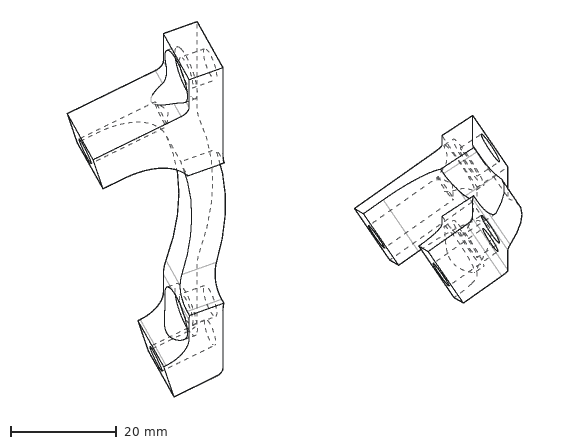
import cadquery as cq
import math

width = 12.0
length = 97.5
tab_thickness = 7.0

tilt = math.radians(11.4)
toe_reach = 10.1
lower_arm_height = 10.8
upper_arm_height = 10.4
upper_arm_top = 83.2

bridge_radius = 80.0
bridge_bulge = 3.2
bridge_mid_z = 45.9
bridge_inner_radius = bridge_radius - tab_thickness
bridge_center_y = bridge_bulge - bridge_radius

tab_fillet = 2.0
bridge_fillet = 12.0
bridge_blend = 15.0
lower_arm_fillet = 5.9
heel_fillet = 1.8

relief_top = 67.6
relief_bottom = 23.8
relief_radius = 5.0

bolt_hole_diameter = 6.2
counterbore_diameter = 10.4
counterbore_floor = 5.0
hole_spacing = 74.0
upper_bolt_z = 91.4
bolt_heights = (upper_bolt_z, upper_bolt_z - hole_spacing)

thread_diameter = 5.2
thread_depth = 16.0
upper_thread_z = upper_arm_top - upper_arm_height * math.cos(tilt) / 2
lower_thread_z = lower_arm_height * math.cos(tilt) / 2
drill_tip_angle = math.radians(118)


def face_y(z):
    """Y of the caliper face at height z."""
    return -toe_reach - z * math.tan(tilt)


def along_arm(start, y):
    """Point at the given y on the line through start that runs square to the caliper face."""
    return y, start[1] + (y - start[0]) * math.tan(tilt)


def bridge_half_height(radius, y):
    """Half the height of the bridge circle where it crosses the given y."""
    return math.sqrt(radius**2 - (y - bridge_center_y) ** 2)


def under_arm_root(under_tip):
    """Point where the underside of the upper arm meets the inner arc of the bridge."""
    reach_y = under_tip[0] - bridge_center_y
    rise_z = under_tip[1] - bridge_mid_z
    along = reach_y * math.cos(tilt) + rise_z * math.sin(tilt)
    offset_squared = reach_y**2 + rise_z**2 - along**2
    distance = math.sqrt(bridge_inner_radius**2 - offset_squared) - along
    return along_arm(under_tip, under_tip[0] + distance * math.cos(tilt))


def at_corner(point):
    """Selector for the edge along X through a corner of the side outline."""
    return cq.selectors.NearestToPointSelector((0, *point))


def bracket_body():
    """Side outline extruded across the full width, with its corners rounded."""
    tab_y = -tab_thickness
    back_half = bridge_half_height(bridge_radius, 0)
    inner_half = bridge_half_height(bridge_inner_radius, tab_y)

    toe = (face_y(0), 0)
    heel = along_arm(toe, 0)
    back_bottom = (0, bridge_mid_z - back_half)
    back_top = (0, bridge_mid_z + back_half)
    upper_tip = (face_y(upper_arm_top), upper_arm_top)
    upper_arm_root = along_arm(upper_tip, tab_y)
    under_z = upper_arm_top - upper_arm_height * math.cos(tilt)
    under_tip = (face_y(under_z), under_z)
    lower_z = lower_arm_height * math.cos(tilt)
    lower_tip = (face_y(lower_z), lower_z)
    lower_arm_root = along_arm(lower_tip, tab_y)

    bridge_crown = (bridge_bulge - tab_thickness, bridge_mid_z)
    bridge_bottom = (tab_y, bridge_mid_z - inner_half)
    under_root = under_arm_root(under_tip)

    body = (
        cq.Workplane("YZ")
        .moveTo(*toe)
        .lineTo(*heel)
        .lineTo(*back_bottom)
        .threePointArc((bridge_bulge, bridge_mid_z), back_top)
        .lineTo(0, length)
        .lineTo(tab_y, length)
        .lineTo(*upper_arm_root)
        .lineTo(*upper_tip)
        .lineTo(*under_tip)
        .lineTo(*under_root)
        .threePointArc(bridge_crown, bridge_bottom)
        .lineTo(*lower_arm_root)
        .lineTo(*lower_tip)
        .close()
        .extrude(width / 2, both=True)
    )
    rounded_corners = (
        (heel, heel_fillet),
        (upper_arm_root, tab_fillet),
        (under_root, bridge_fillet),
        (bridge_bottom, bridge_blend),
        (back_bottom, bridge_blend),
        (back_top, bridge_blend),
        (lower_arm_root, lower_arm_fillet),
    )
    for corner, radius in rounded_corners:
        body = body.edges("|X").edges(at_corner(corner)).fillet(radius)
    return body


def relief():
    """Slot through the thickness that leaves half the width of the bridge."""
    return (
        cq.Workplane("XZ")
        .center(width / 2, (relief_top + relief_bottom) / 2)
        .rect(width, relief_top - relief_bottom)
        .extrude(length, both=True)
        .edges("|Y and <X")
        .fillet(relief_radius)
    )


def counterbored_hole(z):
    """Through hole along Y with a counterbore open toward -Y."""
    bore = cq.Workplane("XZ").center(0, z).circle(bolt_hole_diameter / 2).extrude(length, both=True)
    counterbore = (
        cq.Workplane("XZ", origin=(0, -counterbore_floor, z))
        .circle(counterbore_diameter / 2)
        .extrude(length)
    )
    return bore.union(counterbore)


def threaded_hole(z):
    """Hole square to the caliper face at height z, with a conical drill tip."""
    radius = thread_diameter / 2
    tip_height = radius / math.tan(drill_tip_angle / 2)
    face_plane = cq.Plane(
        origin=(0, face_y(z), z),
        xDir=(1, 0, 0),
        normal=(0, math.cos(tilt), math.sin(tilt)),
    )
    bore = cq.Workplane(face_plane).circle(radius).extrude(thread_depth)
    bore_end = face_plane.origin + face_plane.zDir * thread_depth
    tip = cq.Solid.makeCone(radius, 0, tip_height, bore_end, face_plane.zDir)
    return bore.union(cq.Workplane(tip))


result = bracket_body().cut(relief())
for bolt_z in bolt_heights:
    result = result.cut(counterbored_hole(bolt_z))
for thread_z in (upper_thread_z, lower_thread_z):
    result = result.cut(threaded_hole(thread_z))